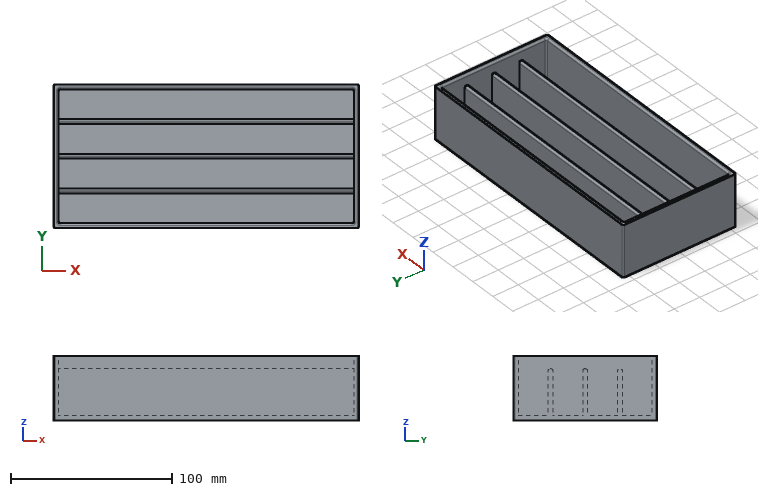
import cadquery as cq

length = 189.0
width = 89.0
height = 40.0
wall = 3.0
floor = 3.0
corner_radius = 1.1
top_round = 1.3

compartments = 4
divider_thickness = 3.0
divider_height = 32.1

inner_length = length - 2 * wall
inner_width = width - 2 * wall


def tray():
    """Open box with rounded vertical corners and a rounded inner rim."""
    body = cq.Workplane("XY").box(length, width, height, centered=(True, True, False))
    body = body.edges("|Z").fillet(corner_radius)
    cavity = (
        cq.Workplane("XY", origin=(0, 0, floor))
        .box(inner_length, inner_width, height - floor, centered=(True, True, False))
        .edges("|Z")
        .fillet(corner_radius)
    )
    inner_rim = cq.selectors.BoxSelector(
        (-inner_length / 2 - wall / 2, -inner_width / 2 - wall / 2, height - wall / 2),
        (inner_length / 2 + wall / 2, inner_width / 2 + wall / 2, height + wall / 2),
    )
    return body.cut(cavity).edges(inner_rim).fillet(top_round)


def divider(center_y):
    """Full-length divider with rounded top edges, reaching into both end walls."""
    return (
        cq.Workplane("XY", origin=(0, center_y, 0))
        .box(inner_length + wall, divider_thickness, divider_height, centered=(True, True, False))
        .edges("|X and >Z")
        .fillet(top_round)
    )


compartment_width = (inner_width - (compartments - 1) * divider_thickness) / compartments
divider_pitch = compartment_width + divider_thickness

result = tray()
for index in range(1, compartments):
    result = result.union(divider((index - compartments / 2) * divider_pitch))